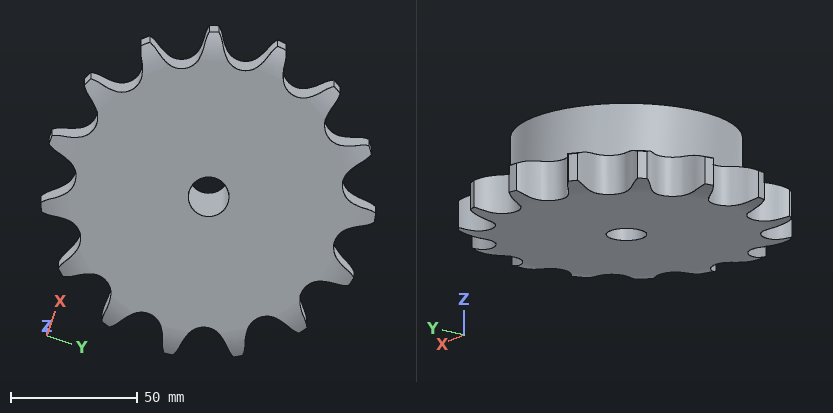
import cadquery as cq
import math

TOOTH_COUNT = 15
PITCH = 25.4
ROLLER_DIAMETER = 15.88
TIP_RADIUS = 66.5

RIM_WIDTH = 16.2
BEVEL_DEPTH = 2.5
BEVEL_RADIUS = 26.0

HUB_DIAMETER = 92.0
BORE_DIAMETER = 16.0
TOTAL_HEIGHT = 40.0

PITCH_ANGLE = 360 / TOOTH_COUNT
PITCH_RADIUS = PITCH / (2 * math.sin(math.pi / TOOTH_COUNT))
WORKING_OFFSET = 0.8 * ROLLER_DIAMETER
TOPPING_OFFSET = 1.4 * ROLLER_DIAMETER
SEAT_CLEARANCE = 0.0381
SEAT_RADIUS = 0.5025 * ROLLER_DIAMETER + SEAT_CLEARANCE
WORKING_RADIUS = SEAT_RADIUS + WORKING_OFFSET
SEAT_END_ANGLE = 55 - 60 / TOOTH_COUNT
WORKING_ARC_ANGLE = 18 - 56 / TOOTH_COUNT
WORKING_END_ANGLE = SEAT_END_ANGLE + WORKING_ARC_ANGLE
TOPPING_ANGLE = 17 - 64 / TOOTH_COUNT
WORKING_RUN = WORKING_OFFSET * math.sin(math.radians(WORKING_ARC_ANGLE))
WORKING_RISE = WORKING_OFFSET * math.cos(math.radians(WORKING_ARC_ANGLE))
TOPPING_RUN = TOPPING_OFFSET * math.sin(math.radians(TOPPING_ANGLE))
TOPPING_RISE = TOPPING_OFFSET * math.cos(math.radians(TOPPING_ANGLE))
STRAIGHT_LENGTH = TOPPING_RUN - WORKING_RUN
TOPPING_RADIUS = TOPPING_RISE + WORKING_RISE - WORKING_RADIUS
TIP_OVERCUT = 1.0
GAP_OUTER_RADIUS = TIP_RADIUS + TIP_OVERCUT
FIRST_GAP_ANGLE = 90.0


def rim_blank():
    """Toothless disc whose edges are rounded by large arcs tangent to the flat faces."""
    bevel_span = math.sqrt(BEVEL_RADIUS**2 - (BEVEL_RADIUS - BEVEL_DEPTH) ** 2)
    flat_radius = TIP_RADIUS - bevel_span
    half_angle = math.asin(bevel_span / BEVEL_RADIUS) / 2
    mid_radius = flat_radius + BEVEL_RADIUS * math.sin(half_angle)
    mid_drop = BEVEL_RADIUS * (1 - math.cos(half_angle))
    section = (
        cq.Workplane("XZ")
        .lineTo(flat_radius, 0)
        .threePointArc((mid_radius, mid_drop), (TIP_RADIUS, BEVEL_DEPTH))
        .lineTo(TIP_RADIUS, RIM_WIDTH - BEVEL_DEPTH)
        .threePointArc((mid_radius, RIM_WIDTH - mid_drop), (flat_radius, RIM_WIDTH))
        .lineTo(0, RIM_WIDTH)
        .close()
    )
    return section.revolve(360, (0, 0, 0), (0, 1, 0))


def polar_offset(origin, distance, angle):
    """Point at a distance from the origin point, its angle in degrees turned from -X towards +Y."""
    return (
        origin[0] - distance * math.cos(math.radians(angle)),
        origin[1] + distance * math.sin(math.radians(angle)),
    )


def mirrored(point):
    """Point reflected across the gap axis."""
    return (point[0], -point[1])


def tooth_gap():
    """Cutter for one gap opening along +X, built from one flank and its mirror image."""
    seat_centre = (PITCH_RADIUS, 0)
    seat_root = polar_offset(seat_centre, SEAT_RADIUS, 0)
    seat_end = polar_offset(seat_centre, SEAT_RADIUS, SEAT_END_ANGLE)

    working_centre = polar_offset(seat_centre, -WORKING_OFFSET, SEAT_END_ANGLE)
    working_mid = polar_offset(working_centre, WORKING_RADIUS, SEAT_END_ANGLE + WORKING_ARC_ANGLE / 2)
    working_end = polar_offset(working_centre, WORKING_RADIUS, WORKING_END_ANGLE)
    straight_end = polar_offset(working_end, STRAIGHT_LENGTH, WORKING_END_ANGLE + 90)

    topping_centre = polar_offset(straight_end, TOPPING_RADIUS, WORKING_END_ANGLE)
    reach = math.hypot(*topping_centre)
    cosine = (GAP_OUTER_RADIUS**2 + reach**2 - TOPPING_RADIUS**2) / (2 * GAP_OUTER_RADIUS * reach)
    outer_angle = math.atan2(topping_centre[1], topping_centre[0]) - math.acos(cosine)
    topping_end = (GAP_OUTER_RADIUS * math.cos(outer_angle), GAP_OUTER_RADIUS * math.sin(outer_angle))
    chord = math.dist(straight_end, topping_end)
    half_turn = math.degrees(math.asin(chord / (2 * TOPPING_RADIUS)))
    topping_mid = polar_offset(topping_centre, -TOPPING_RADIUS, WORKING_END_ANGLE - half_turn)

    return (
        cq.Workplane("XY")
        .moveTo(*mirrored(seat_end))
        .threePointArc(seat_root, seat_end)
        .threePointArc(working_mid, working_end)
        .lineTo(*straight_end)
        .threePointArc(topping_mid, topping_end)
        .threePointArc((GAP_OUTER_RADIUS, 0), mirrored(topping_end))
        .threePointArc(mirrored(topping_mid), mirrored(straight_end))
        .lineTo(*mirrored(working_end))
        .threePointArc(mirrored(working_mid), mirrored(seat_end))
        .close()
        .extrude(RIM_WIDTH)
    )


def toothed_rim():
    rim = rim_blank()
    gap = tooth_gap()
    for index in range(TOOTH_COUNT):
        angle = FIRST_GAP_ANGLE + index * PITCH_ANGLE
        rim = rim.cut(gap.rotate((0, 0, 0), (0, 0, 1), angle))
    return rim


def hub():
    return cq.Workplane("XY").circle(HUB_DIAMETER / 2).extrude(TOTAL_HEIGHT)


def bore():
    return cq.Workplane("XY").circle(BORE_DIAMETER / 2).extrude(TOTAL_HEIGHT)


result = toothed_rim().union(hub()).cut(bore())